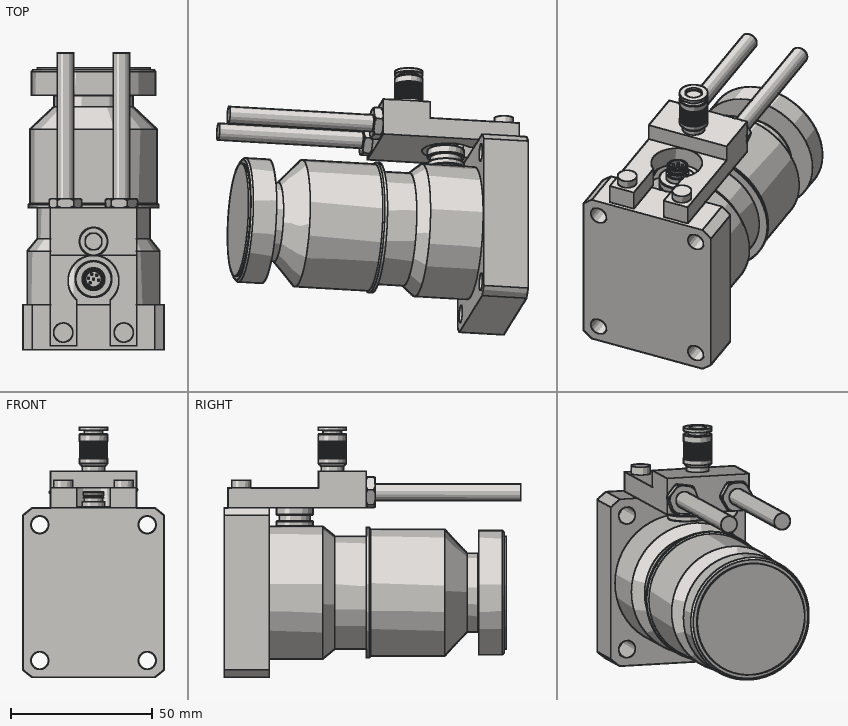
import cadquery as cq
import math


plate_width = 50.0
plate_height = 60.0
plate_depth = 16.0
plate_corner_diameter = 74.0
mount_hole_diameter = 6.1
mount_hole_x = 19.0
mount_hole_z = 24.0

rear_diameter = 47.0
waist_diameter = 40.0
collar_diameter = 46.2
barrel_diameter = 45.0
neck_diameter = 28.0
head_diameter = 44.0
head_rim_diameter = 40.0
rear_cone_start = 34.9
rear_cone_end = 39.2
collar_start = 50.3
collar_edge = 51.3
collar_end = 51.9
front_cone_start = 78.0
front_cone_end = 86.0
head_start = 90.0
undercut_width = 0.2
undercut_diameter = 27.6
head_end = 99.1
head_chamfer = 0.7
spindle_end = 99.8

connector_y = 25.0
connector_bore_diameter = 5.65
connector_bore_depth = 3.0
connector_nut_diameter = 13.0
connector_nut_chamfer = 0.25
connector_neck_diameter = 11.0
lower_nut_bottom = 23.4
lower_nut_top = 25.4
upper_nut_bottom = 27.4
upper_nut_top = 30.3
socket_base_diameter = 8.0
socket_base_top = 32.2
socket_diameter = 6.63
socket_rib_diameter = 7.3
lower_rib_z = 33.5
upper_rib_z = 34.5
socket_top = 35.7
socket_chamfer = 0.3
pin_diameter = 0.7
pin_height = 2.6
pin_circle_diameter = 3.6
pin_pitch_angle = 60
first_pin_angle = -11
pin_count = 5

bracket_width = 30.5
bracket_start = 1.4
bracket_end = collar_start
bracket_bottom = plate_height / 2
arm_thickness = 7.0
block_thickness = 13.0
block_start = 33.4
slot_width = 11.7
clearance_diameter = 18.0
clearance_y = block_start - clearance_diameter / 2

screw_head_diameter = 6.8
screw_head_height = 2.8
screw_x = 10.7
screw_y = 6.1

fitting_y = 38.3
fitting_diameter = 10.0
fitting_stem_diameter = 8.0
knurl_tip_diameter = 9.9
fitting_neck_diameter = 6.63
fitting_bore_diameter = 6.0
fitting_bore_depth = 1.2
fitting_stem_top = 44.6
fitting_cone_top = 45.7
fitting_body_top = 56.1
fitting_chamfer = 0.25
fitting_ring_bottom = 57.4
fitting_top = 58.5
knurl_bottom = 47.3
knurl_top = 53.6
knurl_root_diameter = 9.7
knurl_clearance = 1.0
knurl_teeth = 36

gland_x = 9.9
gland_z = 35.5
gland_nut_flats = 10.0
gland_nut_length = 3.1
gland_nut_chamfer = 0.5
cable_diameter = 6.0
cable_end = 105.0
gland_nut_turns = {-1: 0.0, 1: 9.5}


def revolve_about_y(steps):
    """Solid of revolution about the Y axis from (diameter, y) corners, closed on the axis."""
    points = [(diameter / 2, y) for diameter, y in steps]
    outline = [(0, points[0][1])] + points + [(0, points[-1][1])]
    return cq.Workplane("XY").polyline(outline).close().revolve(360, (0, 0), (0, 1))


def revolve_about_z(steps, y_center):
    """Solid of revolution about a vertical axis at y_center from (diameter, z) corners."""
    points = [(diameter / 2, z) for diameter, z in steps]
    outline = [(0, points[0][1])] + points + [(0, points[-1][1])]
    turned = cq.Workplane("XZ").polyline(outline).close().revolve(360, (0, 0), (0, 1))
    return turned.translate((0, y_center, 0))


def upright_cylinder(diameter, bottom, height, x=0.0, y=0.0):
    """Vertical cylinder standing on the level z = bottom."""
    return cq.Workplane("XY", origin=(x, y, bottom)).circle(diameter / 2).extrude(height)


def make_plate():
    """Flange plate with its corners turned to a circle and four through holes."""
    blank = cq.Workplane("XZ").rect(plate_width, plate_height).extrude(-plate_depth)
    corner_disc = cq.Workplane("XZ").circle(plate_corner_diameter / 2).extrude(-plate_depth)
    holes = (
        cq.Workplane("XZ")
        .rect(2 * mount_hole_x, 2 * mount_hole_z, forConstruction=True)
        .vertices()
        .circle(mount_hole_diameter / 2)
        .extrude(-plate_depth)
    )
    return blank.intersect(corner_disc).cut(holes)


def make_turned_body():
    """Rear barrel, waist, collar, front barrel, neck and head, all turned about the Y axis."""
    return revolve_about_y([
        (rear_diameter, plate_depth),
        (rear_diameter, rear_cone_start),
        (waist_diameter, rear_cone_end),
        (waist_diameter, collar_start),
        (collar_diameter, collar_start),
        (collar_diameter, collar_edge),
        (barrel_diameter, collar_end),
        (barrel_diameter, front_cone_start),
        (neck_diameter, front_cone_end),
        (neck_diameter, head_start - undercut_width),
        (undercut_diameter, head_start - undercut_width),
        (undercut_diameter, head_start),
        (head_diameter, head_start),
        (head_diameter, head_end - head_chamfer),
        (head_diameter - 2 * head_chamfer, head_end),
        (head_rim_diameter, head_end),
        (head_rim_diameter, spindle_end),
    ])


def make_connector():
    """Two chamfered nuts with a neck between them, and a ribbed socket that holds the contact pins."""
    nut_edge = connector_nut_diameter - 2 * connector_nut_chamfer
    rib_edge = socket_rib_diameter - 2 * socket_chamfer
    connector = revolve_about_z([
        (nut_edge, lower_nut_bottom),
        (connector_nut_diameter, lower_nut_bottom + connector_nut_chamfer),
        (connector_nut_diameter, lower_nut_top - connector_nut_chamfer),
        (nut_edge, lower_nut_top),
        (connector_neck_diameter, lower_nut_top),
        (connector_neck_diameter, upper_nut_bottom),
        (nut_edge, upper_nut_bottom),
        (connector_nut_diameter, upper_nut_bottom + connector_nut_chamfer),
        (connector_nut_diameter, upper_nut_top - connector_nut_chamfer),
        (nut_edge, upper_nut_top),
        (socket_base_diameter, upper_nut_top),
        (socket_base_diameter, socket_base_top),
        (socket_diameter, socket_base_top),
        (socket_diameter, lower_rib_z),
        (socket_rib_diameter, lower_rib_z),
        (socket_diameter, (lower_rib_z + upper_rib_z) / 2),
        (socket_rib_diameter, upper_rib_z),
        (socket_rib_diameter, socket_top - socket_chamfer),
        (rib_edge, socket_top),
    ], connector_y)
    bore_floor = socket_top - connector_bore_depth
    bore = upright_cylinder(connector_bore_diameter, bore_floor, connector_bore_depth, y=connector_y)
    connector = connector.cut(bore)

    connector = connector.union(upright_cylinder(pin_diameter, bore_floor, pin_height, y=connector_y))
    for index in range(pin_count):
        angle = math.radians(first_pin_angle + index * pin_pitch_angle)
        pin_x = pin_circle_diameter / 2 * math.cos(angle)
        pin_y = connector_y + pin_circle_diameter / 2 * math.sin(angle)
        connector = connector.union(upright_cylinder(pin_diameter, bore_floor, pin_height, pin_x, pin_y))
    return connector


def make_spindle():
    """The spindle as one solid: flange plate, turned body and connector."""
    return make_plate().union(make_turned_body()).union(make_connector())


def make_bracket():
    """Forked bracket: two arms around the connector and a raised block in front of it."""
    arm_top = bracket_bottom + arm_thickness
    block_top = bracket_bottom + block_thickness
    profile = [
        (bracket_start, bracket_bottom),
        (bracket_end, bracket_bottom),
        (bracket_end, block_top),
        (block_start, block_top),
        (block_start, arm_top),
        (bracket_start, arm_top),
    ]
    blank = cq.Workplane("YZ").polyline(profile).close().extrude(bracket_width / 2, both=True)
    slot_length = clearance_y - bracket_start
    slot = (
        cq.Workplane("XY", origin=(0, bracket_start + slot_length / 2, bracket_bottom))
        .rect(slot_width, slot_length)
        .extrude(arm_thickness)
    )
    clearance = upright_cylinder(clearance_diameter, bracket_bottom, arm_thickness, y=clearance_y)
    return blank.cut(slot).cut(clearance)


def make_screw(side):
    """Plain screw head on one arm of the bracket."""
    arm_top = bracket_bottom + arm_thickness
    return upright_cylinder(screw_head_diameter, arm_top, screw_head_height, side * screw_x, screw_y)


def make_fitting():
    """Push-in air fitting with a knurled grip and a release ring."""
    fitting = revolve_about_z([
        (fitting_stem_diameter, bracket_bottom + block_thickness),
        (fitting_stem_diameter, fitting_stem_top),
        (fitting_diameter, fitting_cone_top),
        (fitting_diameter, fitting_body_top - fitting_chamfer),
        (fitting_diameter - 2 * fitting_chamfer, fitting_body_top),
        (fitting_neck_diameter, fitting_body_top),
        (fitting_neck_diameter, fitting_ring_bottom),
        (fitting_diameter, fitting_ring_bottom),
        (fitting_diameter, fitting_top),
    ], fitting_y)
    bore_floor = fitting_top - fitting_bore_depth
    bore = upright_cylinder(fitting_bore_diameter, bore_floor, fitting_bore_depth, y=fitting_y)
    fitting = fitting.cut(bore)

    knurl_outline = []
    for index in range(2 * knurl_teeth):
        angle = math.pi * index / knurl_teeth
        radius = (knurl_tip_diameter if index % 2 == 0 else knurl_root_diameter) / 2
        knurl_outline.append((radius * math.cos(angle), radius * math.sin(angle)))
    knurl_height = knurl_top - knurl_bottom
    toothed = (
        cq.Workplane("XY", origin=(0, fitting_y, knurl_bottom))
        .polyline(knurl_outline)
        .close()
        .extrude(knurl_height)
    )
    band = upright_cylinder(fitting_diameter + knurl_clearance, knurl_bottom, knurl_height, y=fitting_y)
    return fitting.cut(band.cut(toothed))


def make_gland(side):
    """Cable gland: a chamfered hexagon nut against the bracket with the cable leaving it."""
    corner_diameter = gland_nut_flats / math.cos(math.pi / 6)
    nut = cq.Workplane("XZ").polygon(6, corner_diameter).extrude(-gland_nut_length)
    nut = nut.rotate((0, 0, 0), (0, 1, 0), -gland_nut_turns[side])
    edge_diameter = corner_diameter - 2 * gland_nut_chamfer
    turned_blank = revolve_about_y([
        (edge_diameter, 0),
        (corner_diameter, gland_nut_chamfer),
        (corner_diameter, gland_nut_length - gland_nut_chamfer),
        (edge_diameter, gland_nut_length),
    ])
    cable = cq.Workplane("XZ").circle(cable_diameter / 2).extrude(-(cable_end - bracket_end))
    gland = nut.intersect(turned_blank).union(cable)
    return gland.translate((side * gland_x, bracket_end, gland_z))


spindle = make_spindle()
bracket = make_bracket()
screws = [make_screw(side) for side in (-1, 1)]
fitting = make_fitting()
glands = [make_gland(side) for side in (-1, 1)]

result = cq.Compound.makeCompound([
    spindle.val(),
    bracket.val(),
    *[screw.val() for screw in screws],
    fitting.val(),
    *[gland.val() for gland in glands],
])